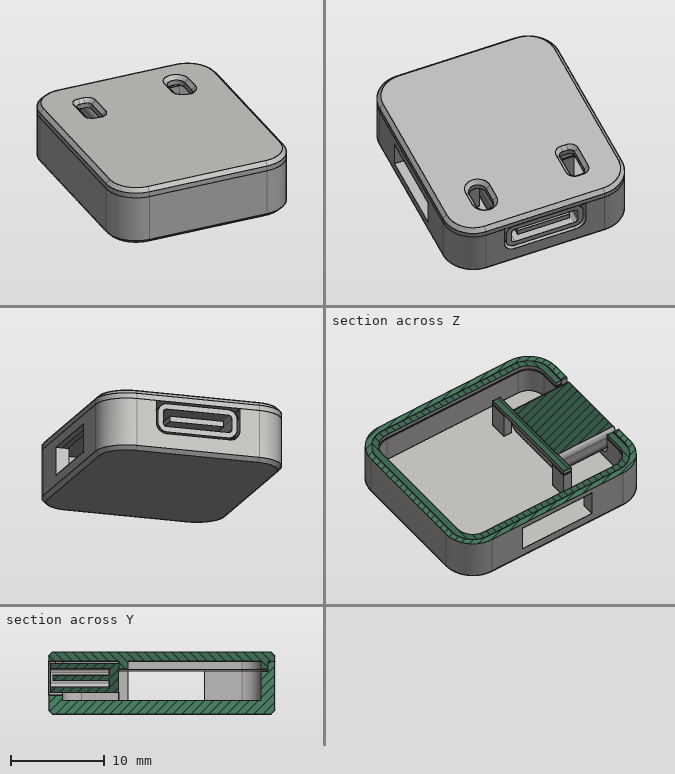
import cadquery as cq

LENGTH = 24.2
WIDTH = 20.8
HEIGHT = 6.68
CORNER_RADIUS = 3.5
EDGE_CHAMFER = 0.44

WALL = 1.5
FLOOR = 1.5
LID_THICKNESS = 1.02
LIP_WIDTH = WALL / 2
LIP_DEPTH = 0.87
LIP_CLEARANCE = 0.17
SPLIT_Z = HEIGHT - LID_THICKNESS
LIP_BOTTOM_Z = SPLIT_Z - LIP_DEPTH
LEDGE_Z = LIP_BOTTOM_Z - LIP_CLEARANCE

SHELL_WIDTH = 8.93
SHELL_HEIGHT = 3.15
SHELL_RADIUS = 1.02
SHELL_LENGTH = 7.3
SHELL_BOTTOM_Z = 2.32
SHELL_RECESS = 0.2
SHELL_FRONT_X = -LENGTH / 2 + SHELL_RECESS
SHELL_REAR_X = SHELL_FRONT_X + SHELL_LENGTH
SHELL_CENTRE_Z = SHELL_BOTTOM_Z + SHELL_HEIGHT / 2
SHELL_WALL = 0.6
SOCKET_RADIUS = SHELL_RADIUS - SHELL_WALL
SOCKET_DEPTH = 6.3
TONGUE_WIDTH = 6.05
TONGUE_THICKNESS = 0.6
TONGUE_RECESS = 0.27

NOTCH_CLEARANCE = 0.27
NOTCH_WIDTH = SHELL_WIDTH + 2 * NOTCH_CLEARANCE
NOTCH_BOTTOM_Z = SHELL_BOTTOM_Z - NOTCH_CLEARANCE
NOTCH_RADIUS = 1.2

RIB_THICKNESS = 1.0
RIB_WIDTH = 13.07
RIB_GAP_WIDTH = SHELL_WIDTH

SIDE_OPENING_WIDTH = 9.1

SLOT_CHAMFER = 0.44
ROUND_SLOT_X = -7.4
ROUND_SLOT_Y = 5.47
ROUND_SLOT_LENGTH = 3.73
ROUND_SLOT_WIDTH = 1.95
SQUARE_SLOT_X = -6.7
SQUARE_SLOT_Y = -5.42
SQUARE_SLOT_LENGTH = 3.73
SQUARE_SLOT_WIDTH = 1.7
SQUARE_SLOT_RADIUS = 0.53


def rounded_block(inset, bottom_z, top_z):
    """Block with the enclosure's outline moved inwards by the inset."""
    return (
        cq.Workplane("XY")
        .workplane(offset=bottom_z)
        .rect(LENGTH - 2 * inset, WIDTH - 2 * inset)
        .extrude(top_z - bottom_z)
        .edges("|Z")
        .fillet(CORNER_RADIUS - inset)
    )


def block_along_x(front_x, rear_x, width, bottom_z, top_z):
    """Plain block centred on Y = 0."""
    return cq.Workplane("XY").box(
        rear_x - front_x, width, top_z - bottom_z, centered=(False, True, False)
    ).translate((front_x, 0, bottom_z))


def cross_rib(width, bottom_z, top_z):
    """Rib across the cavity, directly behind the connector."""
    return block_along_x(SHELL_REAR_X, SHELL_REAR_X + RIB_THICKNESS, width, bottom_z, top_z)


def connector_notch():
    """Notch through the -X wall, open at the top, with rounded lower corners."""
    return (
        block_along_x(-LENGTH / 2, -LENGTH / 2 + WALL, NOTCH_WIDTH, NOTCH_BOTTOM_Z, SPLIT_Z)
        .edges("|X and <Z")
        .fillet(NOTCH_RADIUS)
    )


def make_tray():
    tray = rounded_block(0, 0, SPLIT_Z).faces("<Z").edges().chamfer(EDGE_CHAMFER)
    cavity = rounded_block(WALL, FLOOR, SPLIT_Z)
    rabbet = rounded_block(WALL - LIP_WIDTH, LEDGE_Z, SPLIT_Z)
    ribs = cross_rib(RIB_WIDTH, FLOOR, LEDGE_Z).cut(cross_rib(RIB_GAP_WIDTH, FLOOR, LEDGE_Z))
    side_opening = (
        cq.Workplane("XY")
        .box(SIDE_OPENING_WIDTH, WALL, LEDGE_Z - FLOOR, centered=(True, False, False))
        .translate((0, WIDTH / 2 - WALL, FLOOR))
    )
    return tray.cut(cavity).cut(rabbet).cut(connector_notch()).cut(side_opening).union(ribs)


def round_slot(grow):
    """Full-radius slot, enlarged all round by the given amount."""
    outline = cq.Workplane("XY").slot2D(ROUND_SLOT_LENGTH + 2 * grow, ROUND_SLOT_WIDTH + 2 * grow)
    return outline.extrude(LID_THICKNESS).translate((ROUND_SLOT_X, ROUND_SLOT_Y, SPLIT_Z))


def square_slot(grow):
    """Slot with rounded corners, enlarged all round by the given amount."""
    outline = cq.Workplane("XY").rect(SQUARE_SLOT_LENGTH + 2 * grow, SQUARE_SLOT_WIDTH + 2 * grow)
    slot = outline.extrude(LID_THICKNESS).edges("|Z").fillet(SQUARE_SLOT_RADIUS + grow)
    return slot.translate((SQUARE_SLOT_X, SQUARE_SLOT_Y, SPLIT_Z))


def with_flared_rim(slot):
    """Slot cutter that widens at 45 degrees up to the top face of the lid."""
    flare = slot(SLOT_CHAMFER).faces("<Z").edges().chamfer(SLOT_CHAMFER)
    return slot(0).union(flare.translate((0, 0, LID_THICKNESS - SLOT_CHAMFER)))


def make_lid():
    lid = rounded_block(0, SPLIT_Z, HEIGHT).faces(">Z").edges().chamfer(EDGE_CHAMFER)
    lip_outer = rounded_block(WALL - LIP_WIDTH, LIP_BOTTOM_Z, SPLIT_Z)
    lip_inner = rounded_block(WALL, LIP_BOTTOM_Z, SPLIT_Z)
    lip = lip_outer.cut(lip_inner).cut(connector_notch())
    rib = cross_rib(RIB_WIDTH, LIP_BOTTOM_Z, SPLIT_Z)
    lid = lid.union(lip).union(rib)
    return lid.cut(with_flared_rim(round_slot)).cut(with_flared_rim(square_slot))


def make_connector():
    shell = block_along_x(
        SHELL_FRONT_X, SHELL_REAR_X, SHELL_WIDTH, SHELL_BOTTOM_Z, SHELL_BOTTOM_Z + SHELL_HEIGHT
    ).edges("|X").fillet(SHELL_RADIUS)
    socket = block_along_x(
        SHELL_FRONT_X,
        SHELL_FRONT_X + SOCKET_DEPTH,
        SHELL_WIDTH - 2 * SHELL_WALL,
        SHELL_BOTTOM_Z + SHELL_WALL,
        SHELL_BOTTOM_Z + SHELL_HEIGHT - SHELL_WALL,
    ).edges("|X").fillet(SOCKET_RADIUS)
    tongue = block_along_x(
        SHELL_FRONT_X + TONGUE_RECESS,
        SHELL_FRONT_X + SOCKET_DEPTH,
        TONGUE_WIDTH,
        SHELL_CENTRE_Z - TONGUE_THICKNESS / 2,
        SHELL_CENTRE_Z + TONGUE_THICKNESS / 2,
    )
    return shell.cut(socket).union(tongue)


tray = make_tray()
lid = make_lid()
connector = make_connector()

result = cq.Compound.makeCompound([tray.val(), lid.val(), connector.val()])